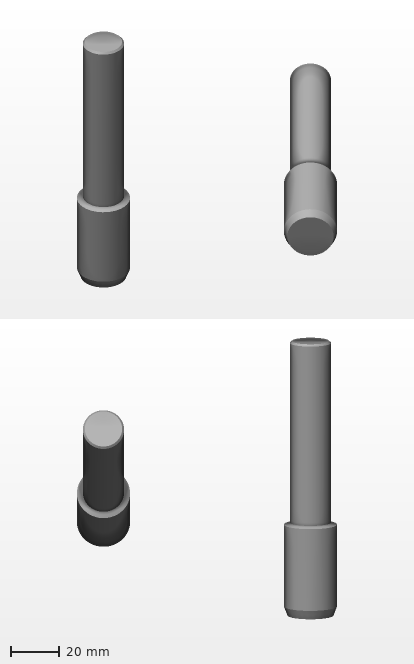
import cadquery as cq

shaft_length = 115.0
shaft_diameter = 17.0
shaft_chamfer = 0.8

sleeve_diameter = 22.0
sleeve_shoulder_height = 38.1
sleeve_top_height = 39.0
nose_height = 3.8
nose_end_diameter = 19.1

shaft_radius = shaft_diameter / 2
sleeve_radius = sleeve_diameter / 2
nose_end_radius = nose_end_diameter / 2


def make_shaft():
    """Round shaft standing on Z = 0, with a chamfered top rim."""
    return cq.Workplane("XY").circle(shaft_radius).extrude(shaft_length).faces(">Z").chamfer(shaft_chamfer)


def make_sleeve():
    """Revolved sleeve with a tapered nose, a sloping shoulder and a bore that fits the shaft."""
    profile = (
        cq.Workplane("XZ")
        .moveTo(shaft_radius, 0)
        .lineTo(nose_end_radius, 0)
        .lineTo(sleeve_radius, nose_height)
        .lineTo(sleeve_radius, sleeve_shoulder_height)
        .lineTo(shaft_radius, sleeve_top_height)
        .close()
    )
    return profile.revolve(360, (0, 0, 0), (0, 1, 0))


shaft = make_shaft()
sleeve = make_sleeve()

result = cq.Compound.makeCompound([shaft.val(), sleeve.val()])